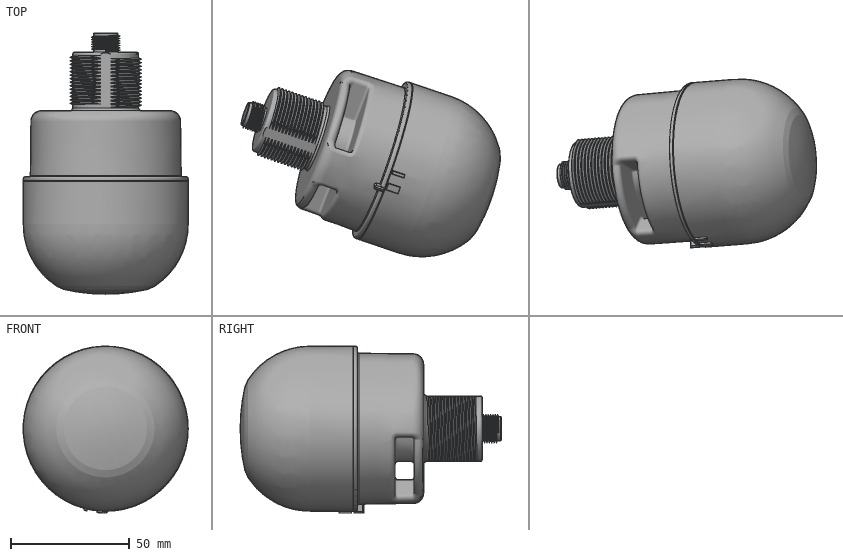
import cadquery as cq
import math


DOME_RADIUS = 35.0
DOME_SHOULDER_Y = 29.75
DOME_REAR_Y = 47.75
NOSE_ARC_RADIUS = 31.5
NOSE_END_Y = 3.4
NOSE_CAP_RADIUS = 17.67
NOSE_CAP_Y = 2.0

SEAM_WIDTH = 0.35
SEAM_DEPTH = 0.25
FLANGE_REAR_Y = 49.8
FLANGE_EDGE_RADIUS = 1.0
LIP_HEIGHT = 0.5
LIP_RADIUS = 32.3

HOUSING_FRONT_RADIUS = 32.05
HOUSING_REAR_RADIUS = 31.7
HOUSING_REAR_Y = 77.8
HOUSING_EDGE_RADIUS = 4.6

STUD_END_Y = 102.6
STUD_CORE_RADIUS = 14.0
STUD_CREST_RADIUS = 15.1
STUD_PITCH = 1.5
STUD_THREAD_START_Y = 79.7
STUD_THREAD_TURNS = 14
STUD_FLAT_HALF_HEIGHT = 13.83
STUD_END_RADIUS = 1.0
FLATS_REACH = 80.0
STUD_FOOT_RADIUS = 14.6
STUD_FOOT_HEIGHT = 1.0

PLUG_END_Y = 110.7
PLUG_CORE_RADIUS = 5.15
PLUG_CREST_RADIUS = 6.0
PLUG_PITCH = 1.0
PLUG_THREAD_START_Y = STUD_END_Y + PLUG_PITCH / 2
PLUG_THREAD_TURNS = 6.3
PLUG_CHAMFER = 0.3

RIDGE_BASE_SHARE = 0.94
RIDGE_SINK = 0.3

SLOT_FRONT_Y = 65.7
SLOT_REAR_Y = 73.7
SLOT_CEILING_Z = -3.5
SLOT_CORE_RADIUS = 14.0
SLOT_FLOOR_CREST_Z = -21.6
SLOT_FLOOR_RADIUS = 5.0
SLOT_REACH = 40.0
SLOT_CORNER_RADIUS = 1.2
SLOT_MOUTH_RADIUS = 1.9
PICK_TOLERANCE = 0.1

MARK_OUTER_RADIUS = 35.75
POINTER_FRONT_Y = 48.2
POINTER_REAR_Y = 52.4
POINTER_WIDTH = 1.8
POINTER_TOP_Z = -31.0
POINTER_CHAMFER = 0.6
DOME_MARK_FRONT_Y = 42.0
DOME_MARK_REAR_Y = 47.3
DOME_MARK_RANGES = ((-9.2, -7.9), (-3.6, -0.6))
MARK_ROOT_Z = -33.0


def turned(outline):
    """Revolve a closed half section, drawn as radius and y, about the Y axis."""
    return outline.close().revolve(360, (0, 0, 0), (0, 1, 0))


def make_dome():
    arc_centre_radius = DOME_RADIUS - NOSE_ARC_RADIUS
    nose_drop = DOME_SHOULDER_Y - NOSE_END_Y
    nose_end_radius = arc_centre_radius + math.sqrt(NOSE_ARC_RADIUS**2 - nose_drop**2)
    mid_angle = math.asin(nose_drop / NOSE_ARC_RADIUS) / 2
    nose_middle = (
        arc_centre_radius + NOSE_ARC_RADIUS * math.cos(mid_angle),
        DOME_SHOULDER_Y - NOSE_ARC_RADIUS * math.sin(mid_angle),
    )
    cap_sphere_radius = (NOSE_CAP_RADIUS**2 + NOSE_CAP_Y**2) / (2 * NOSE_CAP_Y)
    cap_middle_radius = NOSE_CAP_RADIUS / 2
    cap_middle_y = cap_sphere_radius - math.sqrt(cap_sphere_radius**2 - cap_middle_radius**2)
    return turned(
        cq.Workplane("XY")
        .lineTo(0, DOME_REAR_Y)
        .lineTo(DOME_RADIUS, DOME_REAR_Y)
        .lineTo(DOME_RADIUS, DOME_SHOULDER_Y)
        .threePointArc(nose_middle, (nose_end_radius, NOSE_END_Y))
        .lineTo(NOSE_CAP_RADIUS, NOSE_CAP_Y)
        .threePointArc((cap_middle_radius, cap_middle_y), (0, 0))
    )


def make_housing():
    seam_radius = DOME_RADIUS - SEAM_DEPTH
    seam_rear_y = DOME_REAR_Y + SEAM_WIDTH
    lip_rear_y = FLANGE_REAR_Y + LIP_HEIGHT
    housing = turned(
        cq.Workplane("XY")
        .moveTo(0, DOME_REAR_Y)
        .lineTo(seam_radius, DOME_REAR_Y)
        .lineTo(seam_radius, seam_rear_y)
        .lineTo(DOME_RADIUS, seam_rear_y)
        .lineTo(DOME_RADIUS, FLANGE_REAR_Y - FLANGE_EDGE_RADIUS)
        .radiusArc((DOME_RADIUS - FLANGE_EDGE_RADIUS, FLANGE_REAR_Y), -FLANGE_EDGE_RADIUS)
        .lineTo(LIP_RADIUS, FLANGE_REAR_Y)
        .lineTo(HOUSING_FRONT_RADIUS, lip_rear_y)
        .lineTo(HOUSING_REAR_RADIUS, HOUSING_REAR_Y)
        .lineTo(0, HOUSING_REAR_Y)
    )
    return housing.faces(">Y").edges().fillet(HOUSING_EDGE_RADIUS)


def make_slot():
    """Strap slot: an arched channel between a rounded core and a roof-shaped floor."""
    floor_rise = SLOT_FLOOR_RADIUS * (math.sqrt(2) - 1)
    floor_apex_z = SLOT_FLOOR_CREST_Z + floor_rise
    tangent_x = SLOT_FLOOR_RADIUS / math.sqrt(2)
    tangent_z = floor_apex_z - tangent_x
    floor_end_z = floor_apex_z - SLOT_REACH
    slot = (
        cq.Workplane("XZ", origin=(0, SLOT_REAR_Y, 0))
        .moveTo(-SLOT_REACH, SLOT_CEILING_Z)
        .lineTo(SLOT_REACH, SLOT_CEILING_Z)
        .lineTo(SLOT_REACH, floor_end_z)
        .lineTo(tangent_x, tangent_z)
        .threePointArc((0, SLOT_FLOOR_CREST_Z), (-tangent_x, tangent_z))
        .lineTo(-SLOT_REACH, floor_end_z)
        .close()
        .extrude(SLOT_REAR_Y - SLOT_FRONT_Y)
    )
    core = (
        cq.Workplane("XZ", origin=(0, SLOT_REAR_Y, 0))
        .circle(SLOT_CORE_RADIUS)
        .extrude(SLOT_REAR_Y - SLOT_FRONT_Y)
    )
    slot = slot.cut(core)
    inner_edges = cq.selectors.BoxSelector(
        (-HOUSING_FRONT_RADIUS, SLOT_FRONT_Y - PICK_TOLERANCE, floor_end_z),
        (HOUSING_FRONT_RADIUS, SLOT_REAR_Y + PICK_TOLERANCE, 0),
    )
    return slot.edges(inner_edges).fillet(SLOT_CORNER_RADIUS)


def is_slot_mouth(edge):
    """True for an edge that lies wholly where the slot breaks through the housing skin."""
    for share in (0, 0.5, 1):
        point = edge.positionAt(share)
        skin_depth = HOUSING_FRONT_RADIUS - math.hypot(point.x, point.z)
        along_slot = SLOT_FRONT_Y - PICK_TOLERANCE < point.y < SLOT_REAR_Y + PICK_TOLERANCE
        if not along_slot or skin_depth > SLOT_CORNER_RADIUS:
            return False
    return True


def cut_slot(housing):
    housing = housing.cut(make_slot())
    return housing.edges().filter(is_slot_mouth).fillet(SLOT_MOUTH_RADIUS)


def make_thread(core_radius, crest_radius, pitch, start_y, turns):
    """Right-hand helical ridge about the Y axis, beginning at the top of the core."""
    base_radius = core_radius - RIDGE_SINK
    half_base = pitch * RIDGE_BASE_SHARE / 2
    helix = cq.Workplane(obj=cq.Wire.makeHelix(pitch, pitch * turns, base_radius))
    ridge = (
        cq.Workplane("XZ")
        .polyline([
            (base_radius, -half_base),
            (crest_radius, 0),
            (base_radius, half_base),
        ])
        .close()
        .sweep(helix, isFrenet=True)
    )
    ridge = ridge.rotate((0, 0, 0), (0, 0, 1), -90)
    return ridge.rotate((0, 0, 0), (1, 0, 0), -90).translate((0, start_y, 0))


def make_stud():
    thread_free_y = HOUSING_REAR_Y + STUD_FOOT_HEIGHT
    core = turned(
        cq.Workplane("XY")
        .moveTo(0, HOUSING_REAR_Y)
        .lineTo(STUD_CORE_RADIUS, HOUSING_REAR_Y)
        .lineTo(STUD_CORE_RADIUS, STUD_END_Y - STUD_END_RADIUS)
        .radiusArc((STUD_CORE_RADIUS - STUD_END_RADIUS, STUD_END_Y), -STUD_END_RADIUS)
        .lineTo(0, STUD_END_Y)
    )
    thread = make_thread(
        STUD_CORE_RADIUS, STUD_CREST_RADIUS, STUD_PITCH, STUD_THREAD_START_Y, STUD_THREAD_TURNS
    )
    between_flats = (
        cq.Workplane("XY")
        .box(FLATS_REACH, FLATS_REACH, 2 * STUD_FLAT_HALF_HEIGHT)
        .translate((0, STUD_END_Y, 0))
    )
    foot = turned(
        cq.Workplane("XY")
        .moveTo(0, HOUSING_REAR_Y)
        .lineTo(STUD_FOOT_RADIUS, HOUSING_REAR_Y)
        .lineTo(STUD_CORE_RADIUS, thread_free_y)
        .lineTo(0, thread_free_y)
    )
    flatted_thread = thread.intersect(between_flats)
    return core.union(flatted_thread).intersect(between_flats).union(foot)


def make_plug():
    core = turned(
        cq.Workplane("XY")
        .moveTo(0, STUD_END_Y)
        .lineTo(PLUG_CORE_RADIUS, STUD_END_Y)
        .lineTo(PLUG_CORE_RADIUS, PLUG_END_Y)
        .lineTo(0, PLUG_END_Y)
    )
    core = core.faces(">Y").edges().chamfer(PLUG_CHAMFER)
    thread = make_thread(
        PLUG_CORE_RADIUS, PLUG_CREST_RADIUS, PLUG_PITCH, PLUG_THREAD_START_Y, PLUG_THREAD_TURNS
    )
    return core.union(thread)


def make_block(start_x, end_x, front_y, rear_y, top_z, bottom_z):
    return cq.Workplane("XY").box(
        end_x - start_x, rear_y - front_y, top_z - bottom_z, centered=False
    ).translate((start_x, front_y, bottom_z))


def make_pointer():
    half_width = POINTER_WIDTH / 2
    block = make_block(
        -half_width, half_width, POINTER_FRONT_Y, POINTER_REAR_Y, POINTER_TOP_Z, -MARK_OUTER_RADIUS
    )
    block = block.faces("<Z").edges("|Y").chamfer(POINTER_CHAMFER)
    return block.edges("|Z and >Y").chamfer(POINTER_CHAMFER)


def make_dome_mark(start_x, end_x):
    block = make_block(
        start_x, end_x, DOME_MARK_FRONT_Y, DOME_MARK_REAR_Y, MARK_ROOT_Z, -MARK_OUTER_RADIUS
    )
    outer = (
        cq.Workplane("XZ", origin=(0, DOME_MARK_REAR_Y, 0))
        .circle(MARK_OUTER_RADIUS)
        .extrude(DOME_MARK_REAR_Y - DOME_MARK_FRONT_Y)
    )
    return block.intersect(outer)


housing = cut_slot(make_housing())
part = make_dome().union(housing).union(make_stud()).union(make_plug()).union(make_pointer())
for mark_start_x, mark_end_x in DOME_MARK_RANGES:
    part = part.union(make_dome_mark(mark_start_x, mark_end_x))

result = part